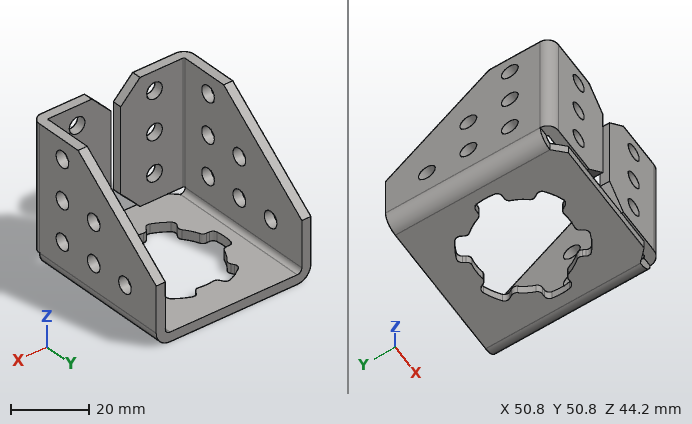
import cadquery as cq

width = 50.8
depth = 50.8
height = 44.2
sheet = 3.0

base_bend_inner = 1.5
base_bend_outer = base_bend_inner + sheet
corner_bend_inner = 0.38
corner_bend_outer = corner_bend_inner + sheet

slope_top_y = 19.05
slope_rear_z = 19.05

flange_gap = 3.15
flange_chamfer = 6.35

hole_diameter = 5.1
hole_pitch = 12.7
row_counts = [3, 2, 1]

lobe_count = 6
opening_inner_radius = 14.35
opening_outer_radius = 17.55
lobe_width = 8.05
lobe_fillet = 1.5

middle_x = width / 2
middle_y = depth / 2


def make_base_and_sides():
    """U-shaped sheet behind the front corner bends, with the rear corners sloped off."""
    channel_length = depth - corner_bend_outer
    outer = cq.Workplane("XY").box(width, channel_length, height, centered=False)
    outer = outer.edges("|Y and <Z").fillet(base_bend_outer)
    inner = (
        cq.Workplane("XY")
        .box(width - 2 * sheet, channel_length, height, centered=False)
        .edges("|Y and <Z")
        .fillet(base_bend_inner)
        .translate((sheet, 0, sheet))
    )
    channel = outer.cut(inner).translate((0, corner_bend_outer, 0))
    rear_corner = (
        cq.Workplane("YZ")
        .polyline([(slope_top_y, height), (depth, height), (depth, slope_rear_z)])
        .close()
        .extrude(width)
    )
    return channel.cut(rear_corner)


def make_front_tab():
    """Flat front end of the base, with 45 degree corners."""
    left = base_bend_outer
    right = width - base_bend_outer
    return (
        cq.Workplane("XY")
        .moveTo(left, corner_bend_outer)
        .lineTo(left + corner_bend_outer, 0)
        .lineTo(right - corner_bend_outer, 0)
        .lineTo(right, corner_bend_outer)
        .close()
        .extrude(sheet)
    )


def make_front_flanges():
    """Corner bends and the two front flanges, parted by a gap that flares at both ends."""
    flange_height = height - base_bend_outer
    outer = cq.Workplane("XY").box(width, depth, flange_height, centered=False)
    outer = outer.edges("|Z and <Y").fillet(corner_bend_outer)
    inner = (
        cq.Workplane("XY")
        .box(width - 2 * sheet, depth, flange_height, centered=False)
        .edges("|Z and <Y")
        .fillet(corner_bend_inner)
        .translate((sheet, sheet, 0))
    )
    front_zone = cq.Workplane("XY").box(width, corner_bend_outer, flange_height, centered=False)
    front = outer.cut(inner).intersect(front_zone).translate((0, 0, base_bend_outer))

    half_gap = flange_gap / 2
    half_flare = half_gap + flange_chamfer
    gap = (
        cq.Workplane("XZ")
        .moveTo(middle_x - half_flare, base_bend_outer)
        .lineTo(middle_x - half_gap, base_bend_outer + flange_chamfer)
        .lineTo(middle_x - half_gap, height - flange_chamfer)
        .lineTo(middle_x - half_flare, height)
        .lineTo(middle_x + half_flare, height)
        .lineTo(middle_x + half_gap, height - flange_chamfer)
        .lineTo(middle_x + half_gap, base_bend_outer + flange_chamfer)
        .lineTo(middle_x + half_flare, base_bend_outer)
        .close()
        .extrude(-corner_bend_outer)
    )
    return front.cut(gap)


def make_side_holes():
    """Triangular hole pattern through both side walls, shortest row at the top."""
    points = [
        ((column + 1) * hole_pitch, (row + 1) * hole_pitch)
        for row, count in enumerate(row_counts)
        for column in range(count)
    ]
    return cq.Workplane("YZ").pushPoints(points).circle(hole_diameter / 2).extrude(width)


def make_flange_holes():
    """One column of holes through each front flange."""
    points = [
        (x, (row + 1) * hole_pitch)
        for x in (hole_pitch, width - hole_pitch)
        for row in range(len(row_counts))
    ]
    return cq.Workplane("XZ").pushPoints(points).circle(hole_diameter / 2).extrude(-corner_bend_outer)


def make_base_opening():
    """Round opening with evenly spaced, rounded lobes, the first one along X."""
    reach = cq.Workplane("XY").circle(opening_outer_radius).extrude(sheet)
    opening = cq.Workplane("XY").circle(opening_inner_radius).extrude(sheet)
    for index in range(lobe_count // 2):
        lobe_pair = (
            cq.Workplane("XY")
            .rect(2 * opening_outer_radius, lobe_width)
            .extrude(sheet)
            .intersect(reach)
            .rotate((0, 0, 0), (0, 0, 1), index * 360 / lobe_count)
        )
        opening = opening.union(lobe_pair)
    return opening.edges("|Z").fillet(lobe_fillet).translate((middle_x, middle_y, 0))


bracket = make_base_and_sides().union(make_front_tab()).union(make_front_flanges())
result = bracket.cut(make_side_holes()).cut(make_flange_holes()).cut(make_base_opening())